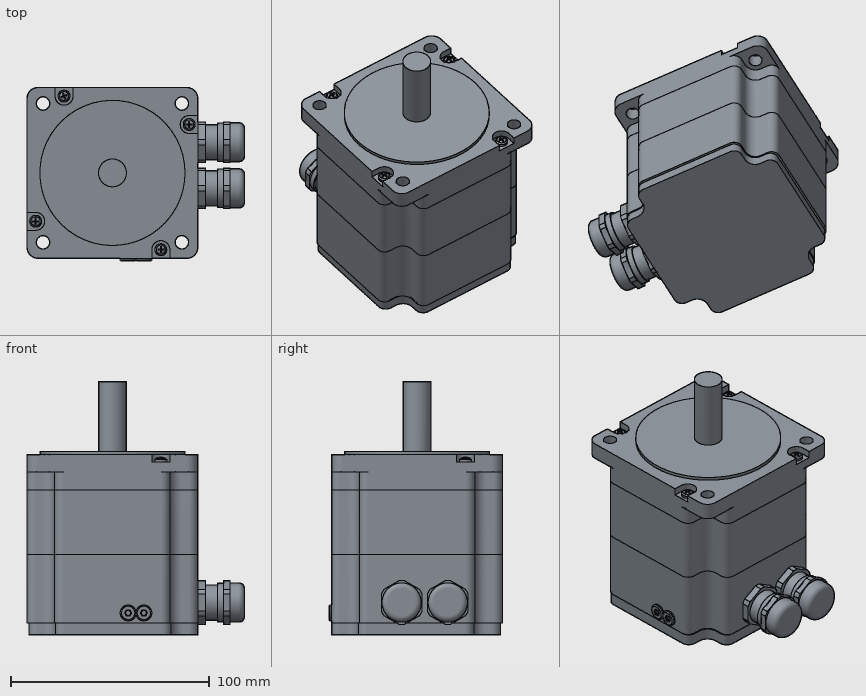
import cadquery as cq
import math


COVER_TOP = 6.0
REAR_TOP = 40.5
STATOR_TOP = 73.0
PLATE_BOTTOM = 82.0
PLATE_TOP = 90.7
BOSS_TOP = 92.4
SHAFT_TOP = 127.4

BODY_WIDTH = 86.0
COVER_WIDTH = 85.0
COVER_SHIFT = (BODY_WIDTH - COVER_WIDTH) / 2
BOLT_PITCH = 69.8
BOLT_HOLE_DIAMETER = 6.6
CORNER_GROOVE_RADIUS = 5.9
CORNER_FILLET = 4.3
PLATE_CORNER_RADIUS = 5.6

BOSS_DIAMETER = 73.0
SHAFT_DIAMETER = 14.0
POCKET_WIDTH = 9.0
POCKET_DEPTH = 3.7
SCREW_ALONG_SIDE = 24.3
SCREW_FROM_CENTER = 38.6
SCREW_ANGLES = [0, 90, 180, 270]
CROSS_TURNS = [0, 0, 20, 0]

SCREW_HEAD_DIAMETER = 6.0
SCREW_RIM_HEIGHT = 1.1
SCREW_CHAMFER = 0.7
SCREW_HEAD_HEIGHT = 2.4
CROSS_LENGTH = 3.0
CROSS_WIDTH = 0.5
CROSS_DEPTH = 1.0

PLUG_X_POSITIONS = [7.9, 15.8]
PLUG_Z = 11.1
PLUG_DIAMETER = 8.0
PLUG_HEIGHT = 1.4
PLUG_CHAMFER = 0.6
SOCKET_ACROSS_FLATS = 3.0
SOCKET_DEPTH = 0.6
BORE_DIAMETER = 2.5
BORE_DEPTH = 1.0

GLAND_Y_POSITIONS = [15.4, -7.8]
GLAND_Z = 16.3
GLAND_NUT_ACROSS_FLATS = 20.4
GLAND_NUT_ROUND_DIAMETER = 22.2
GLAND_STEM_DIAMETER = 17.8
GLAND_COLLAR_DIAMETER = 19.5
GLAND_CAP_DIAMETER = 19.7
GLAND_CAP_FILLET = 2.8
GLAND_BASE_NUT_END = 3.8
GLAND_STEM_END = 10.0
GLAND_COLLAR_END = 12.9
GLAND_CAP_NUT_END = 16.2
GLAND_LENGTH = 23.5


def turned(point, quarter_turns):
    """Point rotated about the origin by a number of quarter turns."""
    x, y = point
    for _ in range(quarter_turns):
        x, y = -y, x
    return x, y


def housing_section(width, bottom, top):
    """Square prism whose corners are grooved around the bolt axes."""
    face = width / 2
    bolt = BOLT_PITCH / 2
    groove_wall = bolt - CORNER_GROOVE_RADIUS
    flat_end = groove_wall - CORNER_FILLET
    fillet_center = face - CORNER_FILLET
    fillet_middle = CORNER_FILLET * math.sqrt(0.5)
    groove_middle = bolt - CORNER_GROOVE_RADIUS * math.sqrt(0.5)

    outline = cq.Workplane("XY").workplane(offset=bottom).moveTo(face, -flat_end)
    for turn in range(4):
        outline = outline.lineTo(*turned((face, flat_end), turn))
        outline = outline.threePointArc(
            turned((fillet_center + fillet_middle, flat_end + fillet_middle), turn),
            turned((fillet_center, groove_wall), turn),
        )
        outline = outline.lineTo(*turned((bolt, groove_wall), turn))
        outline = outline.threePointArc(
            turned((groove_middle, groove_middle), turn),
            turned((groove_wall, bolt), turn),
        )
        outline = outline.lineTo(*turned((groove_wall, fillet_center), turn))
        outline = outline.threePointArc(
            turned((flat_end + fillet_middle, fillet_center + fillet_middle), turn),
            turned((flat_end, face), turn),
        )
    return outline.close().extrude(top - bottom)


def screw_pocket():
    """Round-ended pocket open to the -Y edge of the flange plate."""
    floor = PLATE_TOP - POCKET_DEPTH
    round_end = (
        cq.Workplane("XY", origin=(SCREW_ALONG_SIDE, -SCREW_FROM_CENTER, floor))
        .circle(POCKET_WIDTH / 2)
        .extrude(POCKET_DEPTH)
    )
    channel_length = BODY_WIDTH / 2 - SCREW_FROM_CENTER
    channel = (
        cq.Workplane("XY", origin=(SCREW_ALONG_SIDE, -BODY_WIDTH / 2 + channel_length / 2, floor))
        .rect(POCKET_WIDTH, channel_length)
        .extrude(POCKET_DEPTH)
    )
    return round_end.union(channel)


def screw_head(cross_turn):
    """Chamfered and domed screw head with a cross recess, standing on the pocket floor."""
    rim_radius = SCREW_HEAD_DIAMETER / 2
    dome_edge_radius = rim_radius - SCREW_CHAMFER
    dome_edge_z = SCREW_RIM_HEIGHT + SCREW_CHAMFER
    dome_height = SCREW_HEAD_HEIGHT - dome_edge_z
    sphere_radius = (dome_edge_radius**2 + dome_height**2) / (2 * dome_height)
    middle_x = dome_edge_radius / 2
    middle_z = SCREW_HEAD_HEIGHT - sphere_radius + math.sqrt(sphere_radius**2 - middle_x**2)
    head = (
        cq.Workplane("XZ")
        .lineTo(rim_radius, 0)
        .lineTo(rim_radius, SCREW_RIM_HEIGHT)
        .lineTo(dome_edge_radius, dome_edge_z)
        .threePointArc((middle_x, middle_z), (0, SCREW_HEAD_HEIGHT))
        .close()
        .revolve(360, (0, 0), (0, 1))
    )
    recess_floor = SCREW_HEAD_HEIGHT - CROSS_DEPTH
    for arm_angle in (cross_turn, cross_turn + 90):
        arm = (
            cq.Workplane("XY", origin=(0, 0, recess_floor))
            .rect(CROSS_LENGTH, CROSS_WIDTH)
            .extrude(CROSS_DEPTH)
            .rotate((0, 0, 0), (0, 0, 1), arm_angle)
        )
        head = head.cut(arm)
    return head.translate((SCREW_ALONG_SIDE, -SCREW_FROM_CENTER, PLATE_TOP - POCKET_DEPTH))


def flange_with_shaft():
    """Mounting flange with its neck, pilot boss, output shaft and screw heads."""
    plate = (
        cq.Workplane("XY", origin=(0, 0, PLATE_BOTTOM))
        .rect(BODY_WIDTH, BODY_WIDTH)
        .extrude(PLATE_TOP - PLATE_BOTTOM)
        .edges("|Z")
        .fillet(PLATE_CORNER_RADIUS)
    )
    bolt_holes = (
        cq.Workplane("XY", origin=(0, 0, PLATE_BOTTOM))
        .rect(BOLT_PITCH, BOLT_PITCH, forConstruction=True)
        .vertices()
        .circle(BOLT_HOLE_DIAMETER / 2)
        .extrude(PLATE_TOP - PLATE_BOTTOM)
    )
    boss = (
        cq.Workplane("XY", origin=(0, 0, PLATE_TOP))
        .circle(BOSS_DIAMETER / 2)
        .extrude(BOSS_TOP - PLATE_TOP)
    )
    shaft = (
        cq.Workplane("XY", origin=(0, 0, BOSS_TOP))
        .circle(SHAFT_DIAMETER / 2)
        .extrude(SHAFT_TOP - BOSS_TOP)
    )
    neck = housing_section(BODY_WIDTH, STATOR_TOP, PLATE_BOTTOM)
    flange = neck.union(plate).cut(bolt_holes).union(boss).union(shaft)
    for angle, cross_turn in zip(SCREW_ANGLES, CROSS_TURNS):
        flange = flange.cut(screw_pocket().rotate((0, 0, 0), (0, 0, 1), angle))
        flange = flange.union(screw_head(cross_turn).rotate((0, 0, 0), (0, 0, 1), angle))
    return flange


def socket_plug(x):
    """Chamfered plug head with a hexagon socket over a round bore, on the -Y wall."""
    wall = -BODY_WIDTH / 2
    socket_corner_diameter = SOCKET_ACROSS_FLATS / math.cos(math.radians(30))
    return (
        cq.Workplane("XZ", origin=(x, wall, PLUG_Z))
        .circle(PLUG_DIAMETER / 2)
        .extrude(PLUG_HEIGHT)
        .faces("<Y")
        .chamfer(PLUG_CHAMFER)
        .faces("<Y")
        .workplane()
        .polygon(6, socket_corner_diameter)
        .cutBlind(-SOCKET_DEPTH)
        .faces("<Y")
        .workplane()
        .circle(BORE_DIAMETER / 2)
        .cutBlind(-BORE_DEPTH)
    )


def rear_housing():
    """Rear housing section with its two socket plugs."""
    housing = housing_section(BODY_WIDTH, COVER_TOP, REAR_TOP)
    for x in PLUG_X_POSITIONS:
        housing = housing.union(socket_plug(x))
    return housing


def gland_cylinder(diameter, start, end):
    """Cylinder along +X between two distances from the housing wall."""
    return cq.Workplane("YZ").workplane(offset=start).circle(diameter / 2).extrude(end - start)


def gland_nut(start, end):
    """Hexagon nut with rounded corners and two flats facing +Y and -Y."""
    corner_diameter = GLAND_NUT_ACROSS_FLATS / math.cos(math.radians(30))
    hexagon = (
        cq.Workplane("YZ")
        .workplane(offset=start)
        .polygon(6, corner_diameter)
        .extrude(end - start)
        .rotate((0, 0, 0), (1, 0, 0), 30)
    )
    return hexagon.intersect(gland_cylinder(GLAND_NUT_ROUND_DIAMETER, start, end))


def cable_gland(y):
    """Cable gland pointing along +X from the housing wall."""
    cap = gland_cylinder(GLAND_CAP_DIAMETER, GLAND_CAP_NUT_END, GLAND_LENGTH)
    cap = cap.faces(">X").edges().fillet(GLAND_CAP_FILLET)
    return (
        gland_nut(0, GLAND_BASE_NUT_END)
        .union(gland_cylinder(GLAND_STEM_DIAMETER, GLAND_BASE_NUT_END, GLAND_STEM_END))
        .union(gland_cylinder(GLAND_COLLAR_DIAMETER, GLAND_STEM_END, GLAND_COLLAR_END))
        .union(gland_nut(GLAND_COLLAR_END, GLAND_CAP_NUT_END))
        .union(cap)
        .translate((BODY_WIDTH / 2, y, GLAND_Z))
    )


rear_cover = housing_section(COVER_WIDTH, 0, COVER_TOP).translate((COVER_SHIFT, -COVER_SHIFT, 0))
rear_section = rear_housing()
stator = housing_section(BODY_WIDTH, REAR_TOP, STATOR_TOP)
flange = flange_with_shaft()
glands = [cable_gland(y) for y in GLAND_Y_POSITIONS]

result = cq.Compound.makeCompound(
    [
        rear_cover.val(),
        rear_section.val(),
        stator.val(),
        flange.val(),
        *[gland.val() for gland in glands],
    ]
)